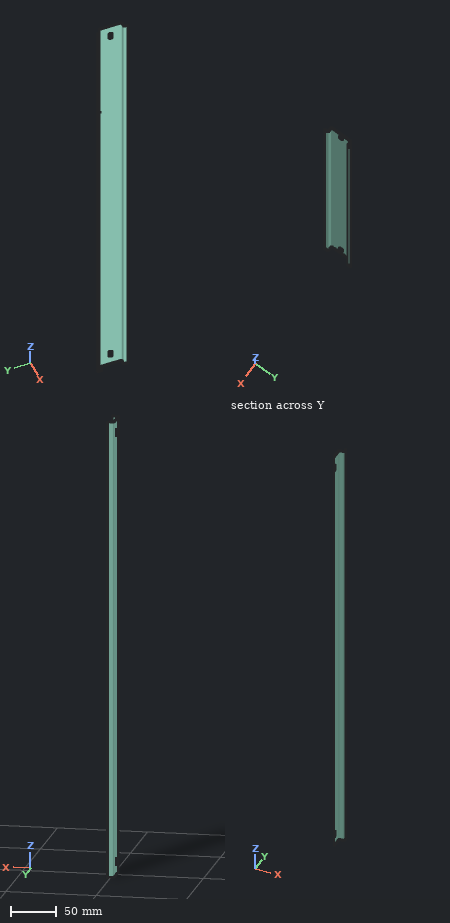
import cadquery as cq

length = 510.0
width = 35.0
depth = 7.0
thickness = 1.0

channel_width = 27.0
inner_bend_radius = 0.75
outer_bend_radius = inner_bend_radius + thickness

slot_width = 4.5
slot_length = 7.5
slot_end_distance = 15.0


def make_rail():
    """Extrude the hat section: a web at -X, two legs and two outward flanges."""
    half_outer = channel_width / 2
    half_inner = half_outer - thickness
    half_width = width / 2
    web_back = -depth / 2
    web_front = web_back + thickness
    flange_front = depth / 2
    flange_back = flange_front - thickness

    upper_half = [
        (web_back, half_outer),
        (flange_back, half_outer),
        (flange_back, half_width),
        (flange_front, half_width),
        (flange_front, half_inner),
        (web_front, half_inner),
    ]
    lower_half = [(x, -y) for x, y in reversed(upper_half)]
    rail = (
        cq.Workplane("XY")
        .polyline(upper_half + lower_half)
        .close()
        .extrude(length / 2, both=True)
    )

    def round_bends(body, corners, radius):
        for x, y in corners:
            for side in (-1, 1):
                body = body.edges(cq.NearestToPointSelector((x, side * y, 0))).fillet(radius)
        return body

    outside_corners = [(web_back, half_outer), (flange_front, half_inner)]
    inside_corners = [(web_front, half_inner), (flange_back, half_outer)]
    rail = round_bends(rail, outside_corners, outer_bend_radius)
    return round_bends(rail, inside_corners, inner_bend_radius)


def make_slot_cutters():
    """Return two slots along Z that pass through the web."""
    slot_height = length / 2 - slot_end_distance
    return (
        cq.Workplane("YZ")
        .pushPoints([(0, -slot_height), (0, slot_height)])
        .slot2D(slot_length, slot_width, 90)
        .extrude(depth, both=True)
    )


result = make_rail().cut(make_slot_cutters())